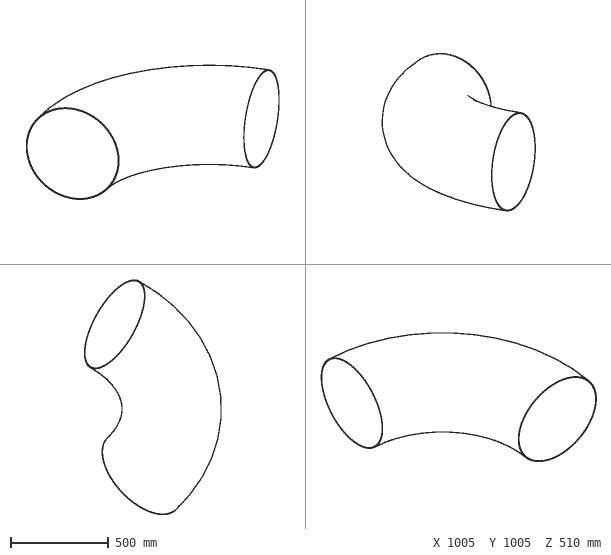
import cadquery as cq

outer_diameter = 510.0
wall_thickness = 5.0
bend_radius = 750.0
bend_angle = 90.0

inner_diameter = outer_diameter - 2 * wall_thickness


def pipe_bend():
    """Thin-walled elbow with open ends facing -Y and +X; the bend axis is Z through the origin."""
    ring = (
        cq.Workplane("XZ")
        .center(-bend_radius, 0)
        .circle(outer_diameter / 2)
        .circle(inner_diameter / 2)
    )
    return ring.revolve(bend_angle, (bend_radius, 0, 0), (bend_radius, -1, 0))


result = pipe_bend()